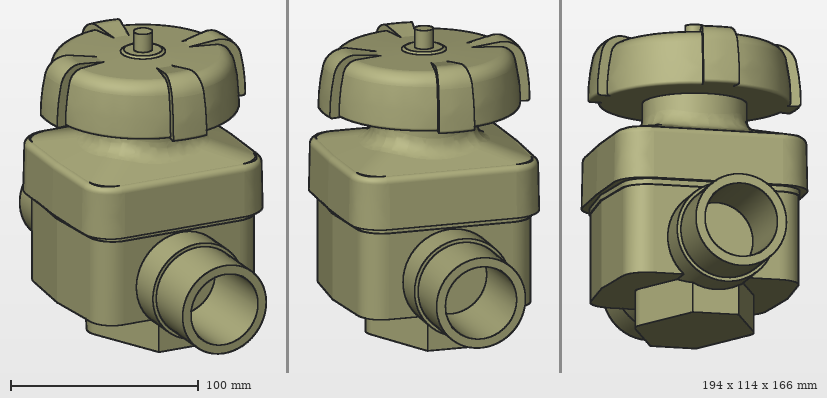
import cadquery as cq
import math

block_bottom = -40.0
body_bottom = -20.0
flange_bottom = 28.0
cover_bottom = 31.0
cover_rim_top = 59.6
wheel_bottom = 83.4
wheel_shoulder = 107.4
wheel_rim_top = 114.0
stem_top = 126.0

spigot_diameter = 50.0
collar_diameter = 54.0
bore_diameter = 40.0
spigot_end = 97.0
collar_end = 65.7

body_half_x = 46.0
body_half_y = 51.3
body_crease_angle = 5.0
body_corner_radius = 13.6
flange_step_x = 1.0
flange_step_y = 0.5

block_half_x = 44.2
block_end_half_y = 12.6
block_side_angle = 25.4
block_nose_radius = 11.0

cover_half_x = 50.0
cover_half_y = 54.1
cover_crease_angle = 1.7
cover_corner_radius = 17.5
cover_draft = 1.2
cover_edge_radius = 3.5

roof_slope = 17.0
roof_height = 10.0
roof_hip_radius = 40.0
neck_diameter = 56.0
neck_fillet = 10.0

wheel_radius = 51.4
wheel_side_radius = 100.0
wheel_bottom_radius = 1.6
crown_inner_radius = 41.3
crown_rise = 0.6
boss_base_radius = 12.0
boss_top_radius = 10.2
boss_height = 1.1
stem_diameter = 10.0

rib_count = 4
rib_angle = 20.0
rib_radius = 57.0
rib_peak = 116.7
rib_inner_radius = 26.0
rib_sink = 2.0


def corner_y(half_x, half_y, crease_angle):
    """Half depth at the corners of an outline whose Y sides slope away from X = 0."""
    return half_y - half_x * math.tan(math.radians(crease_angle))


def six_sided_points(half_x, end_half_y, middle_half_y):
    """Closed outline whose two Y sides come to a point at X = 0."""
    return [
        (-half_x, -end_half_y),
        (0, -middle_half_y),
        (half_x, -end_half_y),
        (half_x, end_half_y),
        (0, middle_half_y),
        (-half_x, end_half_y),
        (-half_x, -end_half_y),
    ]


def rounded_outline(half_x, half_y, crease_angle, corner_radius):
    end_half_y = corner_y(half_x, half_y, crease_angle)
    points = six_sided_points(half_x, end_half_y, half_y)
    return cq.Sketch().polygon(points).vertices("<X or >X").fillet(corner_radius)


def cylinder_along_x(diameter, half_length):
    return cq.Workplane("YZ").circle(diameter / 2).extrude(half_length, both=True)


def make_foot_block():
    nose_y = block_end_half_y + block_half_x * math.tan(math.radians(block_side_angle))
    points = six_sided_points(block_half_x, block_end_half_y, nose_y)
    outline = cq.Sketch().polygon(points).vertices("<Y or >Y").fillet(block_nose_radius)
    return cq.Workplane("XY", origin=(0, 0, block_bottom)).placeSketch(outline).extrude(-block_bottom)


def make_valve_body():
    core_outline = rounded_outline(body_half_x, body_half_y, body_crease_angle, body_corner_radius)
    flange_outline = rounded_outline(
        body_half_x + flange_step_x,
        body_half_y + flange_step_y,
        body_crease_angle,
        body_corner_radius + flange_step_x,
    )
    core = (
        cq.Workplane("XY", origin=(0, 0, body_bottom))
        .placeSketch(core_outline)
        .extrude(flange_bottom - body_bottom)
    )
    flange = (
        cq.Workplane("XY", origin=(0, 0, flange_bottom))
        .placeSketch(flange_outline)
        .extrude(cover_bottom - flange_bottom)
    )
    body = (
        core.union(flange)
        .union(make_foot_block())
        .union(cylinder_along_x(collar_diameter, collar_end))
        .union(cylinder_along_x(spigot_diameter, spigot_end))
    )
    bores = cylinder_along_x(bore_diameter, spigot_end).cut(
        cylinder_along_x(bore_diameter, body_half_x)
    )
    return body.cut(bores)


def make_cover():
    outline = rounded_outline(cover_half_x, cover_half_y, cover_crease_angle, cover_corner_radius)
    height = cover_rim_top - cover_bottom
    cover = (
        cq.Workplane("XY", origin=(0, 0, cover_bottom))
        .placeSketch(outline)
        .extrude(height, taper=cover_draft)
        .faces(">Z")
        .edges()
        .fillet(cover_edge_radius)
    )
    roof_inset = cover_edge_radius + height * math.tan(math.radians(cover_draft))
    roof_half_x = cover_half_x - roof_inset
    roof_half_y = cover_half_y - roof_inset
    roof_end_half_y = corner_y(roof_half_x, roof_half_y, cover_crease_angle)
    roof_points = six_sided_points(roof_half_x, roof_end_half_y, roof_half_y)
    roof = (
        cq.Workplane("XY", origin=(0, 0, cover_rim_top))
        .polyline(roof_points)
        .close()
        .extrude(roof_height, taper=90 - roof_slope)
        .edges("not(#Z)")
        .edges("<X or >X")
        .fillet(roof_hip_radius)
    )
    neck_radius = neck_diameter / 2
    neck = (
        cq.Workplane("XY", origin=(0, 0, cover_rim_top))
        .circle(neck_radius)
        .extrude(wheel_bottom - cover_rim_top)
    )
    neck_foot = cq.selectors.BoxSelector(
        (-neck_radius, -neck_radius, cover_rim_top + roof_height / 2),
        (neck_radius, neck_radius, cover_rim_top + roof_height),
    )
    neck_on_roof = roof.union(neck).edges(neck_foot).fillet(neck_fillet)
    return cover.union(neck_on_roof)


def make_actuator():
    return make_cover().union(make_handwheel())


def grip_profile(outer_radius):
    """Start of a wheel section: flat underside, rounded edge, bulged side up to the shoulder."""
    side_start = wheel_bottom + wheel_bottom_radius
    side_angle = math.asin((wheel_shoulder - side_start) / wheel_side_radius)
    shoulder_radius = outer_radius - wheel_side_radius * (1 - math.cos(side_angle))
    return (
        cq.Workplane("XZ")
        .moveTo(0, wheel_bottom)
        .lineTo(outer_radius - wheel_bottom_radius, wheel_bottom)
        .tangentArcPoint((outer_radius, side_start), relative=False)
        .tangentArcPoint((shoulder_radius, wheel_shoulder), relative=False)
    )


def make_handwheel():
    boss_base = wheel_rim_top + crown_rise
    boss_top = boss_base + boss_height
    wheel = (
        grip_profile(wheel_radius)
        .tangentArcPoint((crown_inner_radius, wheel_rim_top), relative=False)
        .lineTo(boss_base_radius, boss_base)
        .lineTo(boss_top_radius, boss_top)
        .lineTo(0, boss_top)
        .close()
        .revolve(360, (0, 0, 0), (0, 1, 0))
    )
    rib = (
        grip_profile(rib_radius)
        .tangentArcPoint((crown_inner_radius, rib_peak), relative=False)
        .lineTo(rib_inner_radius, wheel_rim_top + crown_rise / 2)
        .lineTo(0, wheel_rim_top - rib_sink)
        .close()
        .revolve(rib_angle, (0, 0, 0), (0, 1, 0))
        .rotate((0, 0, 0), (0, 0, 1), -rib_angle / 2)
    )
    for index in range(rib_count):
        wheel = wheel.union(rib.rotate((0, 0, 0), (0, 0, 1), index * 360 / rib_count))
    stem = (
        cq.Workplane("XY", origin=(0, 0, wheel_bottom))
        .circle(stem_diameter / 2)
        .extrude(stem_top - wheel_bottom)
    )
    return wheel.union(stem)


valve_body = make_valve_body()
actuator = make_actuator()

result = cq.Compound.makeCompound([valve_body.val(), actuator.val()])